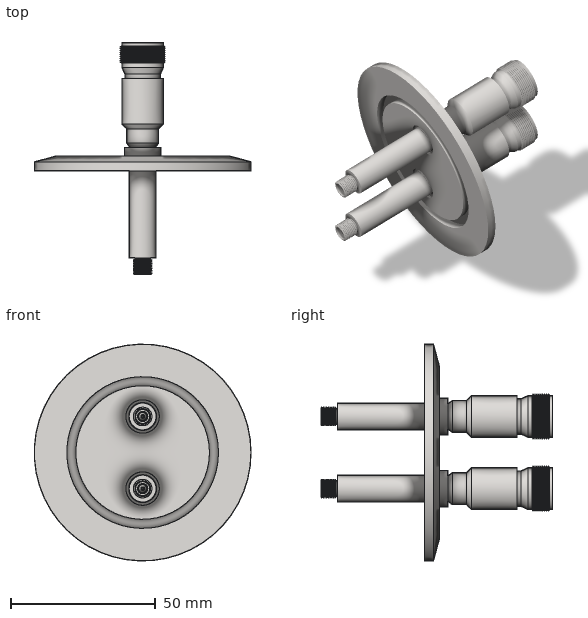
import cadquery as cq
import math

overall_length = 80.1

flange_diameter = 74.9
flange_radius = flange_diameter / 2
flange_rim = 3.1
flange_thickness = 5.2
bevel_angle = 15.0

ring_outer_radius = 26.2
ring_inner_radius = 23.1
ring_depth = 2.8

weld_outer_radius = 5.8
weld_lip_radius = 4.8
weld_depth = 1.05

feedthrough_spacing = 24.9

tube_radius = 4.65
tube_length = 30.05
relief_radius = 2.7
relief_length = 0.5
small_thread_radius = 3.2
small_thread_length = 5.3
small_thread_count = 9

collar_radius = 6.3
collar_end = 8.1
neck_radius = 4.4
shank_radius = 5.5
shank_start = 9.6
shank_end = 14.5
body_radius = 7.2
body_start = 16.2
body_end = 32.0
waist_radius = 6.2
waist_end = 33.4
head_start = 35.75
large_thread_start = 37.2
large_thread_length = 6.0
large_thread_radius = 7.8
large_thread_count = 9

mouth_radius = 2.4
mouth_depth = 1.6
socket_radius = 1.8
socket_depth = 4.0
contact_base_radius = 1.45
contact_tip_radius = 0.65
contact_height = 1.6
contact_hole_radius = 0.3

tip_y = -(tube_length + relief_length + small_thread_length)
back_y = tip_y + overall_length


def revolve_about_y(points):
    """Revolve a closed (radius, Y) outline a full turn about the Y axis."""
    return cq.Workplane("XY").polyline(points).close().revolve(360, (0, 0, 0), (0, 1, 0))


def ring(inner_radius, outer_radius, depth):
    """Ring of the given depth, starting at Y = 0 and going toward +Y."""
    return revolve_about_y([
        (inner_radius, 0),
        (outer_radius, 0),
        (outer_radius, depth),
        (inner_radius, depth),
    ])


def thread_points(start, length, count, root_radius, crest_radius):
    """Outline of V-shaped thread ridges, from root to root along +Y."""
    pitch = length / count
    points = [(root_radius, start)]
    for i in range(count):
        points.append((crest_radius, start + (i + 0.5) * pitch))
        points.append((root_radius, start + (i + 1) * pitch))
    return points


def make_flange():
    bevel_width = (flange_thickness - flange_rim) / math.tan(math.radians(bevel_angle))
    disc = revolve_about_y([
        (0, 0),
        (flange_radius, 0),
        (flange_radius, flange_rim),
        (flange_radius - bevel_width, flange_thickness),
        (0, flange_thickness),
    ])
    return disc.cut(ring(ring_inner_radius, ring_outer_radius, ring_depth))


def make_socket():
    """Material removed from the small threaded end."""
    floor_y = tip_y + socket_depth
    contact_y = floor_y - contact_height
    return revolve_about_y([
        (0, tip_y),
        (mouth_radius, tip_y),
        (mouth_radius, tip_y + mouth_depth),
        (socket_radius, tip_y + mouth_depth),
        (socket_radius, floor_y),
        (contact_base_radius, floor_y),
        (contact_tip_radius, contact_y),
        (contact_hole_radius, contact_y),
        (contact_hole_radius, floor_y),
        (0, floor_y),
    ])


def make_feedthrough():
    outline = [(0, tip_y)]
    outline += thread_points(
        tip_y, small_thread_length, small_thread_count, relief_radius, small_thread_radius
    )
    outline += [
        (relief_radius, -tube_length),
        (tube_radius, -tube_length),
        (tube_radius, 0),
        (weld_lip_radius, 0),
        (weld_lip_radius, weld_depth),
        (collar_radius, weld_depth),
        (collar_radius, collar_end),
        (neck_radius, collar_end),
        (shank_radius, shank_start),
        (shank_radius, shank_end),
        (body_radius, body_start),
        (body_radius, body_end),
        (waist_radius, body_end),
        (waist_radius, waist_end),
        (body_radius, head_start),
    ]
    outline += thread_points(
        large_thread_start, large_thread_length, large_thread_count,
        body_radius, large_thread_radius
    )
    outline += [(body_radius, back_y), (0, back_y)]
    return revolve_about_y(outline).cut(make_socket())


result = make_flange()
weld_groove = ring(weld_lip_radius, weld_outer_radius, weld_depth)
feedthrough = make_feedthrough()
for side in (-1, 1):
    offset = (0, 0, side * feedthrough_spacing / 2)
    result = result.cut(weld_groove.translate(offset)).union(feedthrough.translate(offset))